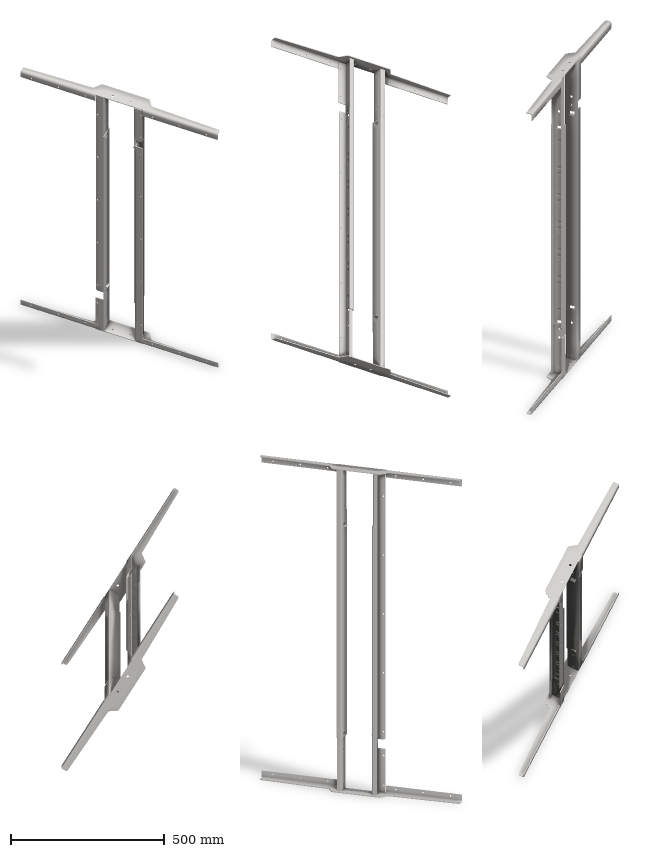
import cadquery as cq

HEIGHT = 1102.0
WIDTH = 700.0
DEPTH = 55.0
SHEET = 2.5
TOP = HEIGHT / 2
UNDERSIDE = TOP - SHEET

PLATE_HALF = 85.0
PLATE_FRONT = SHEET
KNEE_X = 104.0
KNEE_Y = 29.0
ARM_END = WIDTH / 2
ARM_TIP_Y = 21.0
ARM_CORNER = 5.0
PLATE_HOLE = 8.0
PLATE_HOLE_X = 31.0
PLATE_HOLE_Y = 20.0

LIP_HEIGHT = 26.0
LIP_BEND = 8.0
LIP_HOLE = 5.0
LIP_HOLE_Z = TOP - 18.0
LIP_HOLE_X = 215.0
LIP_HOLE_PITCH = 96.0

FLANGE_EDGE = 83.0
REAR_EDGE = 70.0
LEG_BEND = 3.0
LEG_END = -368.0
WRAP_WEB_X = 53.0
WRAP_FRONT_Y = 0.0
WRAP_REAR_Y = 45.0
WRAP_FLANGE_END = 400.0
LONG_WEB_X = WRAP_WEB_X + SHEET
LONG_FRONT_Y = WRAP_FRONT_Y + SHEET
LONG_REAR_Y = WRAP_REAR_Y - SHEET
FLANGE_CORNER = 5.0
HOLE_PITCH = 200.0

FLANGE_HOLE = 5.0
FLANGE_HOLE_X = 77.0
LONG_FLANGE_HOLE_TOP = 460.0
LONG_FLANGE_HOLE_COUNT = 5
WRAP_FLANGE_HOLE_ZS = (524.0, 423.0)

BOLT_HOLE = 9.0
BOLT_HOLE_Y = 22.0
BOLT_HOLE_ZS = (533.0, 414.0)
SMALL_HOLE = 5.0
WRAP_SMALL_HOLE_Z = 383.0
LONG_SMALL_HOLE_Y = 19.0
LONG_SMALL_HOLE_TOP = 274.0
LONG_SMALL_HOLE_COUNT = 6
LONG_LAST_HOLE_Z = -271.0

WINDOW_Y = 20.0
WINDOW_WIDTH = 18.0
WINDOW_HEIGHT = 11.0
WINDOW_PAIR_COUNT = 5
WINDOW_PAIR_SPACING = 22.0
SINGLE_WINDOW_Z = 308.0
END_WINDOW_Z = 356.0
END_WINDOW_WIDTH = 24.0
TAB_REACH = 8.0

LEFT = -1
RIGHT = 1


def block(x_ends, y_ends, z_ends):
    """Rectangular block between two limits along each axis."""
    low = (min(x_ends), min(y_ends), min(z_ends))
    size = [max(ends) - min(ends) for ends in (x_ends, y_ends, z_ends)]
    return cq.Workplane("XY").box(*size, centered=False).translate(low)


def web_hole(side, diameter, y, z):
    """Cutter along X through the web on one side."""
    return cq.Workplane("YZ").center(y, z).circle(diameter / 2).extrude(side * FLANGE_EDGE)


def front_hole(diameter, x, z):
    """Cutter along Y through a front flange or lip."""
    through = 2 * SHEET
    return cq.Workplane("XZ").center(x, z).circle(diameter / 2).extrude(-through)


def web_window(side, width, z):
    """Rectangular cutter along X through the web on one side."""
    y_ends = (WINDOW_Y - width / 2, WINDOW_Y + width / 2)
    z_ends = (z - WINDOW_HEIGHT / 2, z + WINDOW_HEIGHT / 2)
    return block((0, side * FLANGE_EDGE), y_ends, z_ends)


def end_plate():
    right_edge = [
        (PLATE_HALF, PLATE_FRONT),
        (PLATE_HALF, LIP_BEND),
        (ARM_END, LIP_BEND),
        (ARM_END, ARM_TIP_Y),
        (KNEE_X, KNEE_Y),
        (PLATE_HALF, DEPTH),
    ]
    left_edge = [(-x, y) for x, y in reversed(right_edge)]
    hole_places = [(side * PLATE_HOLE_X, PLATE_HOLE_Y) for side in (LEFT, RIGHT)]
    base = cq.Workplane("XY").workplane(offset=UNDERSIDE)
    plate = base.polyline(right_edge + left_edge).close().extrude(SHEET)
    for side in ("<X", ">X"):
        plate = plate.faces(side).edges(">Y").fillet(ARM_CORNER)
    return plate.cut(base.pushPoints(hole_places).circle(PLATE_HOLE / 2).extrude(SHEET))


def arm_lip(side):
    lip = (
        cq.Workplane("YZ", origin=(side * PLATE_HALF, 0, 0))
        .moveTo(LIP_BEND, TOP)
        .radiusArc((0, TOP - LIP_BEND), -LIP_BEND)
        .lineTo(0, TOP - LIP_HEIGHT)
        .lineTo(SHEET, TOP - LIP_HEIGHT)
        .lineTo(SHEET, TOP - LIP_BEND)
        .radiusArc((LIP_BEND, UNDERSIDE), LIP_BEND - SHEET)
        .close()
        .extrude(side * (ARM_END - PLATE_HALF))
    )
    for step in (-1, 0, 1):
        x = side * (LIP_HOLE_X + step * LIP_HOLE_PITCH)
        lip = lip.cut(front_hole(LIP_HOLE, x, LIP_HOLE_Z))
    return lip


def channel(side, web_x, front_y, rear_y):
    """Folded channel open to the outside, with a wide front and a narrow rear flange."""
    web_outer_x = web_x + SHEET
    outline = [
        (FLANGE_EDGE, front_y),
        (web_x, front_y),
        (web_x, rear_y),
        (REAR_EDGE, rear_y),
        (REAR_EDGE, rear_y - SHEET),
        (web_outer_x, rear_y - SHEET),
        (web_outer_x, front_y + SHEET),
        (FLANGE_EDGE, front_y + SHEET),
    ]
    points = [(side * x, y) for x, y in outline]
    leg = cq.Workplane("XY").workplane(offset=LEG_END).polyline(points).close().extrude(UNDERSIDE - LEG_END)
    bends = [
        (web_x, front_y, LEG_BEND),
        (web_x, rear_y, LEG_BEND),
        (web_outer_x, front_y + SHEET, LEG_BEND - SHEET),
        (web_outer_x, rear_y - SHEET, LEG_BEND - SHEET),
    ]
    mid_z = (UNDERSIDE + LEG_END) / 2
    for x, y, radius in bends:
        corner = cq.selectors.NearestToPointSelector((side * x, y, mid_z))
        leg = leg.edges("|Z").edges(corner).fillet(radius)
    for z in BOLT_HOLE_ZS:
        leg = leg.cut(web_hole(side, BOLT_HOLE, BOLT_HOLE_Y, z))
    return leg


def long_leg():
    leg = channel(LEFT, LONG_WEB_X, LONG_FRONT_Y, LONG_REAR_Y)
    leg = leg.edges("|Y").edges("<X").edges("<Z").fillet(FLANGE_CORNER)

    for i in range(LONG_FLANGE_HOLE_COUNT):
        z = LONG_FLANGE_HOLE_TOP - i * HOLE_PITCH
        leg = leg.cut(front_hole(FLANGE_HOLE, LEFT * FLANGE_HOLE_X, z))

    small_hole_zs = [LONG_SMALL_HOLE_TOP - i * HOLE_PITCH / 2 for i in range(LONG_SMALL_HOLE_COUNT)]
    for z in small_hole_zs + [LONG_LAST_HOLE_Z]:
        leg = leg.cut(web_hole(LEFT, SMALL_HOLE, LONG_SMALL_HOLE_Y, z))

    window_zs = [-SINGLE_WINDOW_Z, SINGLE_WINDOW_Z]
    for i in range(WINDOW_PAIR_COUNT):
        pair_z = (i - (WINDOW_PAIR_COUNT - 1) / 2) * HOLE_PITCH / 2
        window_zs += [pair_z - WINDOW_PAIR_SPACING / 2, pair_z + WINDOW_PAIR_SPACING / 2]
    for z in window_zs:
        leg = leg.cut(web_window(LEFT, WINDOW_WIDTH, z))
    for z in (-END_WINDOW_Z, END_WINDOW_Z):
        leg = leg.cut(web_window(LEFT, END_WINDOW_WIDTH, z))
    return leg


def wrapping_leg():
    leg = channel(RIGHT, WRAP_WEB_X, WRAP_FRONT_Y, WRAP_REAR_Y)

    web_x_ends = (WRAP_WEB_X, LONG_WEB_X)
    bend_y_ends = (WRAP_FRONT_Y, WRAP_FRONT_Y + LEG_BEND)
    lower_z_ends = (LEG_END, WRAP_FLANGE_END)
    leg = leg.cut(block((WRAP_WEB_X, FLANGE_EDGE), bend_y_ends, lower_z_ends))
    leg = leg.union(block(web_x_ends, bend_y_ends, lower_z_ends))

    for z in WRAP_FLANGE_HOLE_ZS:
        leg = leg.cut(front_hole(FLANGE_HOLE, FLANGE_HOLE_X, z))
    leg = leg.cut(web_hole(RIGHT, SMALL_HOLE, BOLT_HOLE_Y, WRAP_SMALL_HOLE_Z))
    for z in (-END_WINDOW_Z, END_WINDOW_Z):
        leg = leg.cut(web_window(RIGHT, WINDOW_WIDTH, z))

    tab_top = END_WINDOW_Z - WINDOW_HEIGHT / 2
    tab = block(
        (WRAP_WEB_X - TAB_REACH, LONG_WEB_X),
        (WINDOW_Y - WINDOW_WIDTH / 2, WINDOW_Y + WINDOW_WIDTH / 2),
        (tab_top - SHEET, tab_top),
    )
    return leg.union(tab)


def frame():
    body = end_plate()
    for side in (LEFT, RIGHT):
        body = body.union(arm_lip(side))
    return body.union(long_leg()).union(wrapping_leg())


frames = []
for turn in (0, 180):
    frames.append(frame().rotate((0, 0, 0), (0, 1, 0), turn))

result = cq.Compound.makeCompound([body.val() for body in frames])